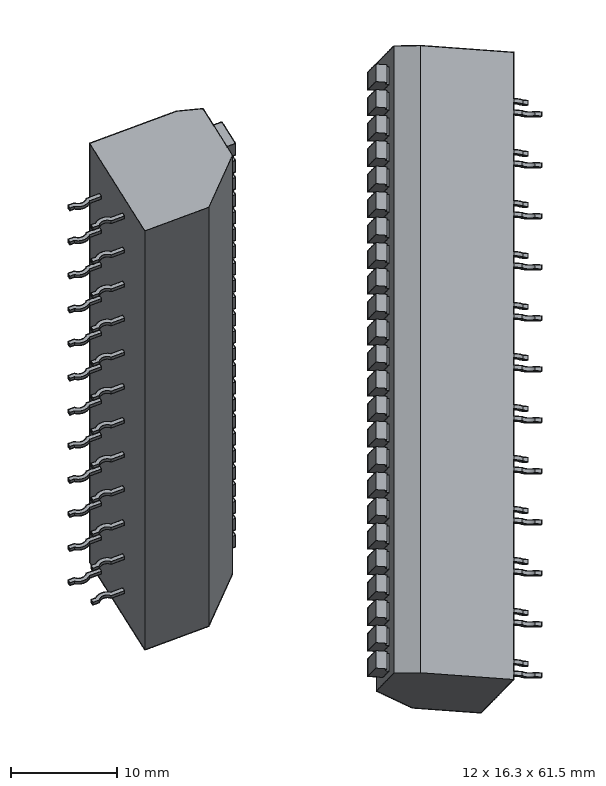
import cadquery as cq
import math

length = 61.5
width = 12.0
depth = 11.5
small_chamfer_x = 0.8
small_chamfer_y = 2.4
large_chamfer = 4.8

pole_count = 24
pole_span = 57.5
pitch = pole_span / (pole_count - 1)

button_left = 1.85
button_width = 2.95
button_height = 1.7
button_travel = 1.5
first_button_z = 1.55
notch_width = 0.6
notch_depth = 0.35

pin_thickness = 0.4
pin_length = 3.3
first_pin_z = 1.3
left_column_x = 2.4
column_spacing = 2 * pitch
bend_radius = 1.0
bend_bulge = 0.3
bend_middle = 2.0


def make_housing():
    outline = [
        (0, 0),
        (width, 0),
        (width, depth - large_chamfer),
        (width - large_chamfer, depth),
        (small_chamfer_x, depth),
        (0, depth - small_chamfer_y),
    ]
    return cq.Workplane("XY").polyline(outline).close().extrude(length)


def make_button(center_z):
    """Rectangular button with a small notch where its left side meets the housing."""
    right = button_left + button_width
    top = depth + button_travel
    outline = [
        (button_left + notch_width, depth),
        (right, depth),
        (right, top),
        (button_left, top),
        (button_left, depth + notch_depth),
        (button_left + notch_width, depth + notch_depth),
    ]
    bottom = center_z - button_height / 2
    return cq.Workplane("XY", origin=(0, 0, bottom)).polyline(outline).close().extrude(button_height)


def make_pin(column_x, center_z, bulge_side):
    """Square pin with an arched bend; bulge_side is +1 for a bend toward +X, -1 toward -X."""
    half = pin_thickness / 2
    arc_center = bend_bulge - bend_radius
    outer_radius = bend_radius + half
    inner_radius = bend_radius - half
    outer_chord = math.sqrt(outer_radius**2 - (half - arc_center) ** 2)
    inner_chord = math.sqrt(inner_radius**2 - (half + arc_center) ** 2)

    def place(offset, distance):
        return (column_x + bulge_side * offset, -distance)

    return (
        cq.Workplane("XY", origin=(0, 0, center_z - half))
        .moveTo(*place(half, 0))
        .lineTo(*place(half, bend_middle - outer_chord))
        .threePointArc(
            place(arc_center + outer_radius, bend_middle),
            place(half, bend_middle + outer_chord),
        )
        .lineTo(*place(half, pin_length))
        .lineTo(*place(-half, pin_length))
        .lineTo(*place(-half, bend_middle + inner_chord))
        .threePointArc(
            place(arc_center + inner_radius, bend_middle),
            place(-half, bend_middle - inner_chord),
        )
        .lineTo(*place(-half, 0))
        .close()
        .extrude(pin_thickness)
    )


result = make_housing()
for pole in range(pole_count):
    rise = pole * pitch
    result = result.union(make_button(first_button_z + rise))
    if pole % 2 == 0:
        pin = make_pin(left_column_x, first_pin_z + rise, 1)
    else:
        pin = make_pin(left_column_x + column_spacing, first_pin_z + rise, -1)
    result = result.union(pin)